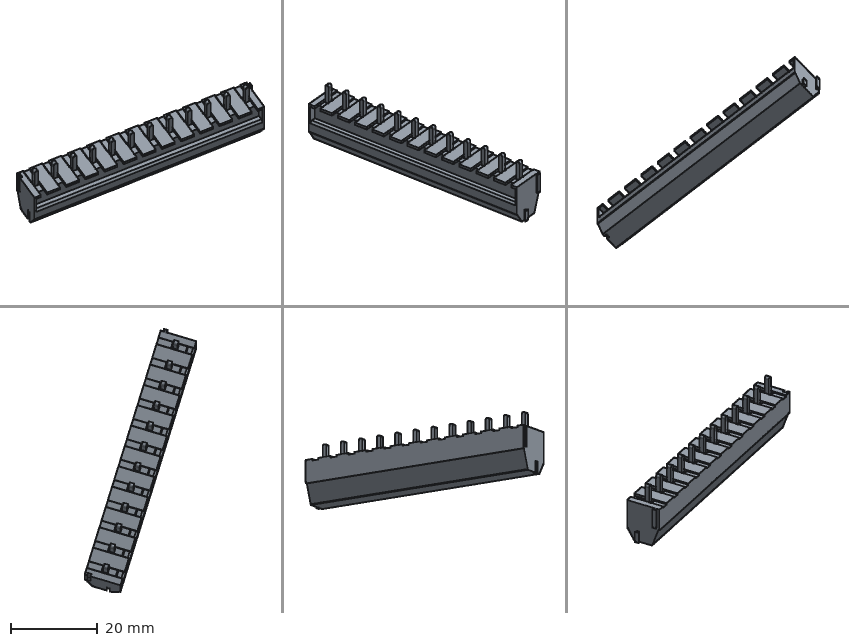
import cadquery as cq

pole_count = 12
body_length = 60.0
overall_length = 60.6
pitch = body_length / pole_count
key_depth = overall_length - body_length
front_y = -overall_length / 2
back_y = front_y + body_length

body_width = 8.6
body_height = 10.3
left_wall_bottom = 4.7
right_wall_bottom = 2.7
base_left = 2.05
base_right = 6.7
base_bevel_height = 0.2
base_bevel_width = 0.2
left_ledge = 0.3
right_ledge = 0.2

slot_width = 1.65
slot_step_x = 3.45
slot_shallow_depth = 0.35
slot_deep_depth = 0.65

recess_x = 6.9
recess_lip_x = 8.05
recess_floor = 5.75
recess_lip_drop = 0.55
end_wall = 0.5

pin_width = 1.1
pin_thickness = 1.0
pin_x = 4.4
overall_height = 14.5
tip_radius = pin_thickness / 2
pin_root_depth = 0.65

key_tip_width = 1.0
key_neck_width = 0.55
key_neck_length = 0.25
keyway_neck_width = 0.7
upper_key_x = 1.0
upper_key_bottom = 5.35
lower_key_x = 5.65
lower_key_top = 2.8

slot_floor = body_height - slot_deep_depth
pole_ys = [front_y + (i + 0.5) * pitch for i in range(pole_count)]


def box(x_min, x_max, y_min, y_max, z_min, z_max):
    """Axis-aligned box given by its limits."""
    size = (x_max - x_min, y_max - y_min, z_max - z_min)
    return cq.Workplane().box(*size, centered=False).translate((x_min, y_min, z_min))


def extrude_along_y(points, y_start, length):
    """Extrude an XZ outline from y_start towards +Y."""
    plane = cq.Workplane("XZ", origin=(0, y_start, 0))
    return plane.polyline(points).close().extrude(-length)


def housing():
    """Solid body with inclined lower flanks, stepped in below the side walls."""
    outline = [
        (base_left, 0),
        (base_right, 0),
        (body_width - right_ledge, right_wall_bottom),
        (body_width, right_wall_bottom),
        (body_width, body_height),
        (0, body_height),
        (0, left_wall_bottom),
        (left_ledge, left_wall_bottom),
        (base_left - base_bevel_width, base_bevel_height),
    ]
    return extrude_along_y(outline, front_y, body_length)


def side_recess():
    """Recess with a flat floor that slopes down at its outer lip."""
    outline = [
        (recess_x, slot_floor),
        (recess_x, recess_floor),
        (recess_lip_x, recess_floor),
        (body_width, recess_floor - recess_lip_drop),
        (body_width, slot_floor),
    ]
    return extrude_along_y(outline, front_y + end_wall, body_length - 2 * end_wall)


def top_slot(y):
    """Slot across the full width, stepping deeper around the pin."""
    y_min = y - slot_width / 2
    y_max = y + slot_width / 2
    shallow = box(0, slot_step_x, y_min, y_max, body_height - slot_shallow_depth, body_height)
    deep = box(slot_step_x, body_width, y_min, y_max, slot_floor, body_height)
    return shallow.union(deep)


def pin(y):
    """Pin rooted in the slot floor, its tip arched across Y."""
    root = slot_floor - pin_root_depth
    shoulder = overall_height - tip_radius
    profile = (
        cq.Workplane("YZ", origin=(pin_x - pin_width / 2, 0, 0))
        .moveTo(y - tip_radius, root)
        .lineTo(y + tip_radius, root)
        .lineTo(y + tip_radius, shoulder)
        .threePointArc((y, overall_height), (y - tip_radius, shoulder))
        .close()
    )
    return profile.extrude(pin_width)


def dovetail(x, y_start, z_min, z_max, neck_width):
    """Dovetail bar along Z: a straight neck that flares to a wide tip towards +Y."""
    neck = neck_width / 2
    tip = key_tip_width / 2
    outline = [
        (x - neck, y_start),
        (x + neck, y_start),
        (x + neck, y_start + key_neck_length),
        (x + tip, y_start + key_depth),
        (x - tip, y_start + key_depth),
        (x - neck, y_start + key_neck_length),
    ]
    plane = cq.Workplane("XY", origin=(0, 0, z_min))
    return plane.polyline(outline).close().extrude(z_max - z_min)


result = housing().cut(side_recess())
for pole_y in pole_ys:
    result = result.cut(top_slot(pole_y))
for pole_y in pole_ys:
    result = result.union(pin(pole_y))

for key_x, z_bottom, z_top in [
    (upper_key_x, upper_key_bottom, body_height),
    (lower_key_x, 0, lower_key_top),
]:
    result = result.cut(dovetail(key_x, front_y, z_bottom, z_top, keyway_neck_width))
    result = result.union(dovetail(key_x, back_y, z_bottom, z_top, key_neck_width))